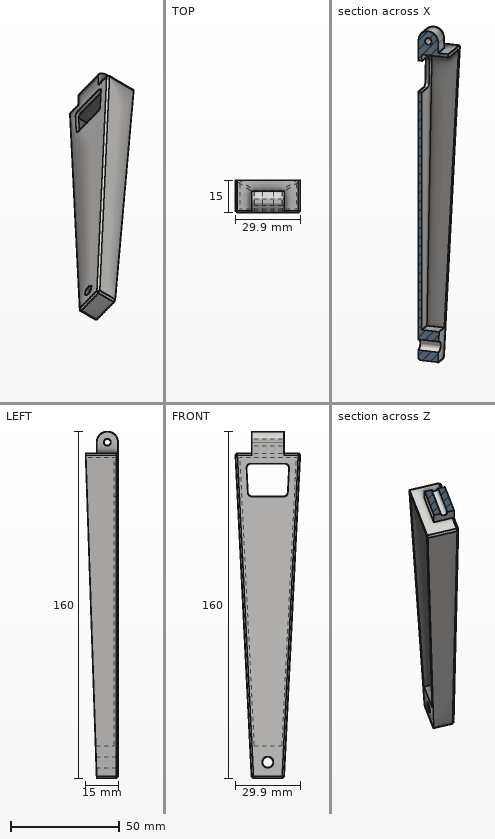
import cadquery as cq

total_height = 160.0
bottom_width = 15.0
top_width = 2 * bottom_width
top_depth = 15.0
bottom_depth = 10.0
edge_chamfer = 1.0

lug_width = 15.0
lug_depth = 10.0
lug_axis_height = 5.0
lug_radius = lug_depth / 2
pin_diameter = 3.0
body_height = total_height - lug_axis_height - lug_radius

wall = 2.0

window_top_gap = 5.0
window_height = 15.0
window_side_gap = 5.0
window_fillet = 2.0
hole_diameter = 5.0
hole_height = 7.5

solid_end_height = 2 * hole_height


def half_width(z):
    """Half of the arm width at height z."""
    return (bottom_width + (top_width - bottom_width) * z / body_height) / 2


def trapezoid(bottom, top, side_gap, depth):
    """Symmetric prism from the front face backwards, inset from the tapered sides."""
    low = half_width(bottom) - side_gap
    high = half_width(top) - side_gap
    outline = [(-low, bottom), (low, bottom), (high, top), (-high, top)]
    return cq.Workplane("XZ").polyline(outline).close().extrude(-depth)


def make_body():
    """Arm tapering in both width and depth, chamfered around its front and its ends."""
    side_profile = (
        cq.Workplane("YZ")
        .polyline([(0, 0), (bottom_depth, 0), (top_depth, body_height), (0, body_height)])
        .close()
        .extrude(top_width / 2, both=True)
    )
    body = trapezoid(0, body_height, 0, top_depth).intersect(side_profile)
    front_edges = body.faces("<Y").edges()
    top_side_edges = body.faces(">Z").edges("<X or >X")
    bottom_side_edges = body.faces("<Z").edges("<X or >X")
    chamfered_edges = front_edges.vals() + top_side_edges.vals() + bottom_side_edges.vals()
    return body.newObject(chamfered_edges).chamfer(edge_chamfer)


def make_cavity():
    """Pocket leaving one wall thickness at the front, sides and top, above the solid end."""
    pocket = trapezoid(solid_end_height, body_height - wall, wall, top_depth)
    return pocket.translate((0, wall, 0))


def make_lug():
    """Round-topped hinge lug, flush with the front face and rooted in the top wall."""
    root = body_height - wall
    axis = body_height + lug_axis_height
    return (
        cq.Workplane("YZ")
        .moveTo(0, root)
        .lineTo(0, axis)
        .threePointArc((lug_radius, total_height), (lug_depth, axis))
        .lineTo(lug_depth, root)
        .close()
        .extrude(lug_width / 2, both=True)
    )


def make_pin_hole():
    """Hinge pin hole across the lug."""
    return (
        cq.Workplane("YZ")
        .center(lug_radius, body_height + lug_axis_height)
        .circle(pin_diameter / 2)
        .extrude(lug_width / 2, both=True)
    )


def make_window():
    """Round-cornered window whose sides follow the taper of the arm."""
    top = body_height - window_top_gap
    opening = trapezoid(top - window_height, top, window_side_gap, top_depth)
    return opening.edges("|Y").fillet(window_fillet)


def make_front_hole():
    """Round hole through the narrow end."""
    return (
        cq.Workplane("XZ")
        .center(0, hole_height)
        .circle(hole_diameter / 2)
        .extrude(-top_depth)
    )


result = make_body().cut(make_cavity()).union(make_lug())
result = result.cut(make_pin_hole()).cut(make_window()).cut(make_front_hole())